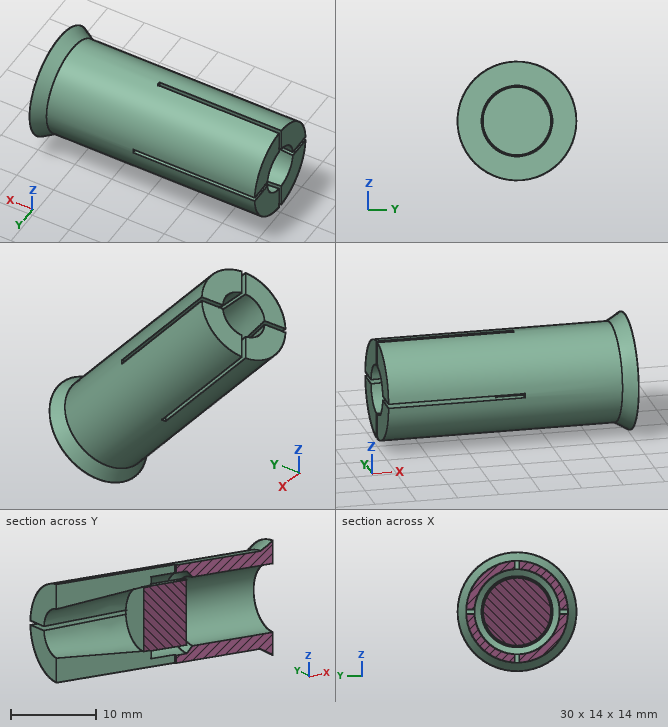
import cadquery as cq

length = 30.0
body_radius = 6.0
flare_radius = 14.0 / 2
flare_length = 1.75

mouth_radius = 3.0
plug_radius = 8.0 / 2
chamber_radius = 10.0 / 2
chamber_start = 13.2
chamber_end = 18.0
exit_radius = 4.17
shoulder_length = 0.78

slot_width = 0.5
slot_length = 16.5

plug_start = 12.0
plug_end = chamber_end
bore_taper = (plug_radius - mouth_radius) / chamber_start
plug_nose_radius = mouth_radius + bore_taper * plug_start


def revolve_about_x(points):
    """Revolve a closed (x, radius) profile about the X axis."""
    return cq.Workplane("XY").polyline(points).close().revolve(360, (0, 0, 0), (1, 0, 0))


def make_sleeve():
    """Flared sleeve with a tapered mouth, an inner chamber and four slots."""
    sleeve = revolve_about_x([
        (0, mouth_radius),
        (0, body_radius),
        (length - flare_length, body_radius),
        (length, flare_radius),
        (length, exit_radius),
        (chamber_end + shoulder_length, exit_radius),
        (chamber_end, chamber_radius),
        (chamber_start, chamber_radius),
        (chamber_start, plug_radius),
    ])
    for width_y, width_z in [(slot_width, 2 * body_radius), (2 * body_radius, slot_width)]:
        slot = cq.Workplane("XY").box(slot_length, width_y, width_z).translate((slot_length / 2, 0, 0))
        sleeve = sleeve.cut(slot)
    return sleeve


def make_plug():
    """Cylindrical plug whose tapered nose seats in the matching taper of the bore."""
    return revolve_about_x([
        (plug_start, 0),
        (plug_start, plug_nose_radius),
        (chamber_start, plug_radius),
        (plug_end, plug_radius),
        (plug_end, 0),
    ])


sleeve = make_sleeve()
plug = make_plug()
result = cq.Compound.makeCompound([sleeve.val(), plug.val()])